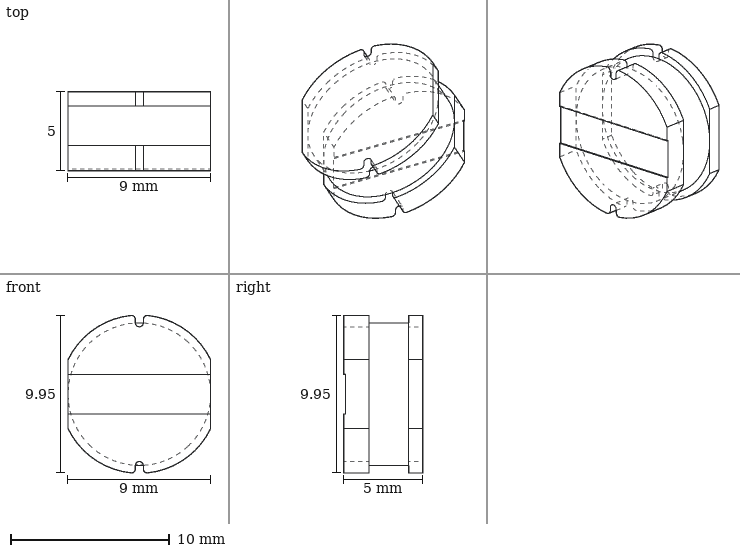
import cadquery as cq

flange_radius = 5.0
width_across_flats = 9.0
front_flange_thickness = 1.6
back_flange_thickness = 0.9

core_radius = 4.5
core_length = 2.5

notch_width = 0.5
notch_radius = notch_width / 2
notch_arc_center = core_radius
notch_lip_radius = 0.25

channel_height = 2.5
channel_depth = 0.1

total_length = front_flange_thickness + core_length + back_flange_thickness
front_y = -total_length / 2
core_y = front_y + front_flange_thickness
back_y = core_y + core_length


def disc(radius, start_y, thickness):
    """Solid cylinder along Y, from start_y towards +Y."""
    return cq.Workplane("XZ", origin=(0, start_y, 0)).circle(radius).extrude(-thickness)


def notch(side, start_y, thickness):
    """Round-bottomed cutter for the top (side = 1) or bottom (side = -1) of a flange."""
    outer_z = side * (flange_radius + notch_width)
    arc_z = side * notch_arc_center
    return (
        cq.Workplane("XZ", origin=(0, start_y, 0))
        .moveTo(-notch_radius, outer_z)
        .lineTo(-notch_radius, arc_z)
        .threePointArc((0, arc_z - side * notch_radius), (notch_radius, arc_z))
        .lineTo(notch_radius, outer_z)
        .close()
        .extrude(-thickness)
    )


def lip_zone(side, start_y, thickness):
    """Box selector around the sharp edges where the notch walls meet the rim."""
    return cq.selectors.BoxSelector(
        (-notch_width, start_y, side * (notch_arc_center + notch_radius)),
        (notch_width, start_y + thickness, side * flange_radius),
    )


def flange(start_y, thickness):
    """Disc with flat sides and a notch with rounded lips at the top and bottom."""
    flats = cq.Workplane("XY", origin=(0, start_y + thickness / 2, 0)).box(
        width_across_flats, thickness, 2 * flange_radius
    )
    body = disc(flange_radius, start_y, thickness).intersect(flats)
    for side in (1, -1):
        body = body.cut(notch(side, start_y, thickness))
        lips = body.edges("|Y").edges(lip_zone(side, start_y, thickness))
        body = lips.fillet(notch_lip_radius)
    return body


def front_channel():
    """Cutter for the shallow channel, running along X over the whole front face."""
    return cq.Workplane("XY", origin=(0, front_y, 0)).box(
        width_across_flats, 2 * channel_depth, channel_height
    )


core = disc(core_radius, core_y, core_length)
front_flange = flange(front_y, front_flange_thickness).cut(front_channel())
back_flange = flange(back_y, back_flange_thickness)

result = core.union(front_flange).union(back_flange)